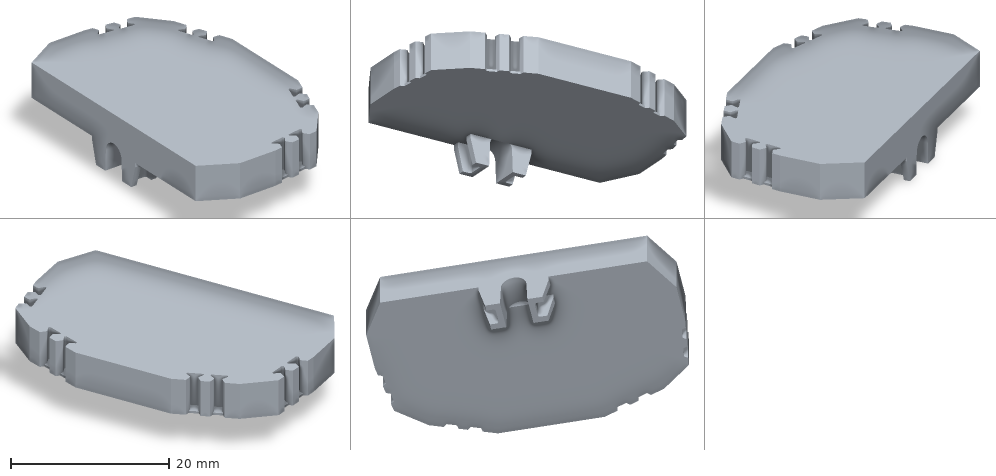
import cadquery as cq
import math

length = 40.0
width = 24.0
thickness = 5.1
front_corner_x = 17.2
front_corner_y = 4.9

side_edge = ((-length / 2, 10.5), (-19.0, 17.75))
rear_edge = ((-15.15, 20.95), (-6.9, width))

slot_pitch = 3.1
mouth_width = 1.9
throat_width = 1.2
throat_depth = 0.65
neck_width = 1.05
neck_depth = 0.9
wide_width = 2.3
wide_depth = 1.6
back_width = 2.05
back_depth = 1.85
neck_round = 0.15
wide_round = 0.1
overcut = 0.4

shelf_height = 0.45
shelf_lip_height = 0.3
shelf_setback = 0.5

foot_height = 3.8
foot_depth = 4.0
foot_top_width = 9.05
foot_tip_width = 7.4
foot_straight = 0.6
flange_top = 1.0
flange_tip = 0.85
web_width = 5.05
web_round = 0.3
arch_width = 3.3
arch_tip_width = 3.5
arch_rise = 0.85
arch_spring = arch_width / 2 - arch_rise


def make_plate():
    """Slab with chamfered corners; the slotted edges are still straight."""
    left = [(-front_corner_x, 0), (-length / 2, front_corner_y), *side_edge, *rear_edge]
    right = [(-x, y) for x, y in reversed(left)]
    return cq.Workplane("XY").polyline(left + right).close().extrude(thickness)


def round_edges_at(dovetail, depth, radius):
    """Round the two upright edges that lie at the given depth in a slot cutter."""
    margin = 0.05
    band = cq.selectors.BoxSelector(
        (-mouth_width, -depth - margin, 0),
        (mouth_width, -depth + margin, thickness),
    )
    return dovetail.edges("|Z").edges(band).fillet(radius)


def make_slot():
    """Slot cutter with its mouth centred on the origin, running inward along -Y."""
    flare = (mouth_width - throat_width) / 2 / throat_depth
    right = [
        (mouth_width / 2 + flare * overcut, overcut),
        (throat_width / 2, -throat_depth),
        (neck_width / 2, -neck_depth),
        (wide_width / 2, -wide_depth),
        (back_width / 2, -back_depth),
    ]
    left = [(-x, y) for x, y in reversed(right)]
    dovetail = cq.Workplane("XY").polyline(right + left).close().extrude(thickness)
    dovetail = round_edges_at(dovetail, neck_depth, neck_round)
    dovetail = round_edges_at(dovetail, wide_depth, wide_round)
    shelf = (
        cq.Workplane("YZ")
        .moveTo(-shelf_setback, 0)
        .lineTo(-shelf_setback, shelf_lip_height)
        .lineTo(-neck_depth, shelf_height)
        .lineTo(-back_depth - overcut, shelf_height)
        .lineTo(-back_depth - overcut, 0)
        .close()
        .extrude(wide_width, both=True)
    )
    return dovetail.cut(shelf)


def cut_slots(body, start, end):
    """Cut the pair of slots into the edge from start to end, and its mirror image."""
    (x0, y0), (x1, y1) = start, end
    heading = math.atan2(y1 - y0, x1 - x0)
    for along in (-slot_pitch / 2, slot_pitch / 2):
        x = (x0 + x1) / 2 + along * math.cos(heading)
        y = (y0 + y1) / 2 + along * math.sin(heading)
        slot = make_slot().rotate((0, 0, 0), (0, 0, 1), math.degrees(heading)).translate((x, y, 0))
        body = body.cut(slot).cut(slot.mirror("YZ"))
    return body


def make_foot():
    """Tapered foot with a hollow in each outer side that leaves the web between the flanges."""
    outline = [
        (-foot_top_width / 2, 0),
        (-foot_top_width / 2, -foot_straight),
        (-foot_tip_width / 2, -foot_height),
        (foot_tip_width / 2, -foot_height),
        (foot_top_width / 2, -foot_straight),
        (foot_top_width / 2, 0),
    ]
    foot = cq.Workplane("XZ").polyline(outline).close().extrude(-foot_depth)
    hollow = (
        cq.Workplane("YZ", origin=(web_width / 2, 0, 0))
        .moveTo(flange_top, 0)
        .lineTo(flange_tip, -foot_height)
        .lineTo(foot_depth - flange_tip, -foot_height)
        .lineTo(foot_depth - flange_top, 0)
        .close()
        .extrude(foot_top_width / 2)
        .faces("<X")
        .edges("not |Y")
        .fillet(web_round)
    )
    return foot.cut(hollow).cut(hollow.mirror("YZ"))


def make_arch():
    """Cutter for the arched slot, which rises past the foot into the plate."""
    return (
        cq.Workplane("XZ")
        .moveTo(-arch_tip_width / 2, -foot_height)
        .lineTo(-arch_width / 2, -arch_spring)
        .threePointArc((0, arch_rise), (arch_width / 2, -arch_spring))
        .lineTo(arch_tip_width / 2, -foot_height)
        .close()
        .extrude(-foot_depth)
    )


plate = make_plate()
plate = cut_slots(plate, *side_edge)
plate = cut_slots(plate, *rear_edge)
result = plate.union(make_foot()).cut(make_arch())